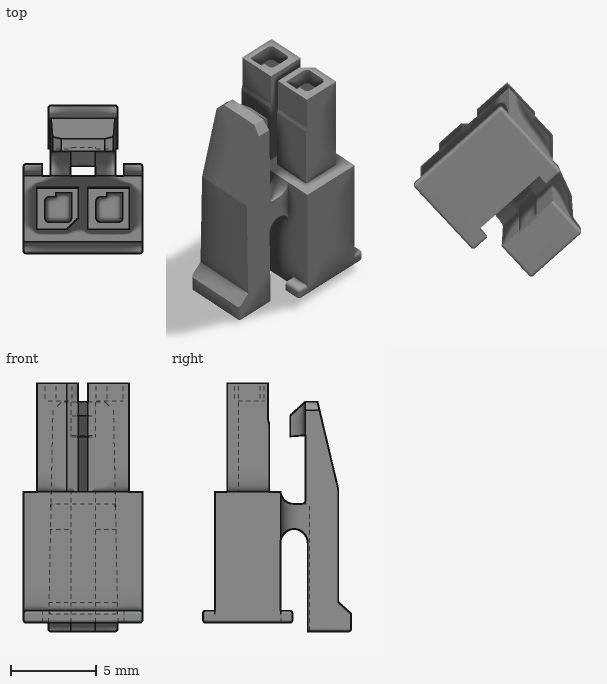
import cadquery as cq
import math


BODY_WIDTH = 7.0
BODY_DEPTH = 3.86
BODY_TOP = 7.67
FLANGE_OVERHANG = 0.7
FLANGE_HEIGHT = 0.71
EDGE_RADIUS = 0.18
FLANGE_TAB_WIDTH = 1.12
BODY_BACK = BODY_DEPTH / 2
FLANGE_DEPTH = BODY_DEPTH + 2 * FLANGE_OVERHANG

TOWER_PITCH = 3.0
TOWER_WIDTH = 2.42
TOWER_TOP = 14.05
TOWER_FRONT = -1.2
TOWER_BACK = 1.27
TOWER_BACK_STEP = 0.065
STEP_BOTTOM = 11.65
STEP_TOP = 11.9
POLARISING_CHAMFER = 0.65

OPENING_LEFT = -0.74
OPENING_RIGHT = 0.83
OPENING_FRONT = -0.79
OPENING_SHOULDER = 0.7
OPENING_BACK = 0.93
OPENING_KEY_LEFT = -0.11
OPENING_RADIUS = 0.28
OPENING_DEPTH = 1.03

LATCH_BOTTOM = -0.52
LATCH_TOP = 12.97
LATCH_BOTTOM_WIDTH = 4.08
LATCH_SIDE_DRAFT = 1.15
LATCH_TOP_CHAMFER = 0.51
LATCH_BACK = 5.32
LATCH_TOP_BACK = 4.1
LATCH_SLOPE_START = 7.83
LATCH_UPPER_FRONT = 3.38
LATCH_LOWER_FRONT = 3.51
LIP_BEHIND_FLANGE = 3.44
LIP_BACK = FLANGE_DEPTH / 2 + LIP_BEHIND_FLANGE
LIP_TOP = 0.53
LIP_SLOPE_TOP = 1.21

LINK_TOP = 6.98
LINK_ARCH_TOP = 5.49
LINK_GAP = 1.46
LINK_GAP_RELIEF = 0.1
LINK_LATCH_RADIUS = 0.18
LINK_BODY_RADIUS = 0.76

HOOK_FRONT = 2.49
HOOK_NOSE_TOP = 12.15
HOOK_NOSE_BOTTOM = 10.92
HOOK_ROOT_BOTTOM = 10.99


def block(x_range, y_range, z_range):
    """Box between the given limits."""
    (x0, x1), (y0, y1), (z0, z1) = x_range, y_range, z_range
    return cq.Workplane("XY").box(x1 - x0, y1 - y0, z1 - z0, centered=False).translate((x0, y0, z0))


def side_profile(half_width):
    """Sketch plane for (Y, Z) profiles, to be extruded from -half_width towards +X."""
    return cq.Workplane("YZ", origin=(-half_width, 0, 0))


def make_flange():
    flange = cq.Workplane("XY").box(BODY_WIDTH, FLANGE_DEPTH, FLANGE_HEIGHT, centered=(True, True, False))
    flange = flange.edges().fillet(EDGE_RADIUS)
    half_opening = BODY_WIDTH / 2 - FLANGE_TAB_WIDTH
    opening = block((-half_opening, half_opening), (BODY_BACK, FLANGE_DEPTH), (0, FLANGE_HEIGHT))
    return flange.cut(opening)


def make_body():
    half_width = BODY_WIDTH / 2
    return block((-half_width, half_width), (-BODY_BACK, BODY_BACK), (EDGE_RADIUS, BODY_TOP))


def make_tower(centre_x, polarised):
    upper_back = TOWER_BACK - TOWER_BACK_STEP
    tower = (
        side_profile(TOWER_WIDTH / 2)
        .moveTo(TOWER_FRONT, BODY_TOP)
        .lineTo(TOWER_BACK, BODY_TOP)
        .lineTo(TOWER_BACK, STEP_BOTTOM)
        .lineTo(upper_back, STEP_TOP)
        .lineTo(upper_back, TOWER_TOP)
        .lineTo(TOWER_FRONT, TOWER_TOP)
        .close()
        .extrude(TOWER_WIDTH)
    )
    if polarised:
        tower = tower.edges("|Z and >X and <Y").chamfer(POLARISING_CHAMFER)
    return tower.cut(make_opening()).translate((centre_x, 0, 0))


def make_opening():
    main = block(
        (OPENING_LEFT, OPENING_RIGHT),
        (OPENING_FRONT, OPENING_SHOULDER),
        (TOWER_TOP - OPENING_DEPTH, TOWER_TOP),
    )
    main = main.edges("|Z").fillet(OPENING_RADIUS)
    key = block(
        (OPENING_KEY_LEFT, OPENING_RIGHT),
        (0, OPENING_BACK),
        (TOWER_TOP - OPENING_DEPTH, TOWER_TOP),
    )
    return main.union(key)


def make_latch_front_outline():
    """Tapered width of the latch with chamfered top corners, as a prism along Y."""
    draft = math.tan(math.radians(LATCH_SIDE_DRAFT))
    chamfer_start = LATCH_TOP - LATCH_TOP_CHAMFER
    half_bottom = LATCH_BOTTOM_WIDTH / 2
    half_upper = half_bottom - draft * (chamfer_start - LATCH_BOTTOM)
    half_top = half_upper - LATCH_TOP_CHAMFER
    return (
        cq.Workplane("XZ")
        .polyline([
            (-half_bottom, LATCH_BOTTOM),
            (half_bottom, LATCH_BOTTOM),
            (half_upper, chamfer_start),
            (half_top, LATCH_TOP),
            (-half_top, LATCH_TOP),
            (-half_upper, chamfer_start),
        ])
        .close()
        .extrude(-LIP_BACK)
    )


def make_latch():
    arch_radius = (LATCH_LOWER_FRONT - BODY_BACK) / 2
    arch_spring = LINK_ARCH_TOP - arch_radius
    arch_centre = BODY_BACK + arch_radius
    latch = (
        side_profile(LATCH_BOTTOM_WIDTH / 2)
        .moveTo(LATCH_LOWER_FRONT, LATCH_BOTTOM)
        .lineTo(LIP_BACK, LATCH_BOTTOM)
        .lineTo(LIP_BACK, LIP_TOP)
        .lineTo(LATCH_BACK, LIP_SLOPE_TOP)
        .lineTo(LATCH_BACK, LATCH_SLOPE_START)
        .lineTo(LATCH_TOP_BACK, LATCH_TOP)
        .lineTo(LATCH_UPPER_FRONT, LATCH_TOP)
        .lineTo(LATCH_UPPER_FRONT, LINK_TOP + LINK_LATCH_RADIUS)
        .radiusArc((LATCH_UPPER_FRONT - LINK_LATCH_RADIUS, LINK_TOP), LINK_LATCH_RADIUS)
        .lineTo(BODY_BACK + LINK_BODY_RADIUS, LINK_TOP)
        .radiusArc((BODY_BACK, BODY_TOP), LINK_BODY_RADIUS)
        .lineTo(BODY_BACK, arch_spring)
        .threePointArc((arch_centre, LINK_ARCH_TOP), (LATCH_LOWER_FRONT, arch_spring))
        .close()
        .extrude(LATCH_BOTTOM_WIDTH)
    )
    latch = latch.intersect(make_latch_front_outline())
    lip_edges = latch.faces("<Z").edges("not <Y").add(latch.faces(">Y").edges("not >Z"))
    latch = lip_edges.fillet(EDGE_RADIUS)
    link_gap = block(
        (-LINK_GAP / 2, LINK_GAP / 2),
        (BODY_BACK, LATCH_LOWER_FRONT + LINK_GAP_RELIEF),
        (LATCH_BOTTOM, LINK_TOP),
    )
    upper_gap = block(
        (-LINK_GAP / 2, LINK_GAP / 2),
        (BODY_BACK, LATCH_UPPER_FRONT),
        (LINK_TOP, BODY_TOP),
    )
    return latch.cut(link_gap).cut(upper_gap).union(make_hook())


def make_hook():
    return (
        side_profile(LINK_GAP / 2)
        .moveTo(LATCH_UPPER_FRONT, LATCH_TOP)
        .lineTo(HOOK_FRONT, HOOK_NOSE_TOP)
        .lineTo(HOOK_FRONT, HOOK_NOSE_BOTTOM)
        .lineTo(LATCH_UPPER_FRONT, HOOK_ROOT_BOTTOM)
        .close()
        .extrude(LINK_GAP)
    )


result = make_flange().union(make_body())
for side in (-1, 1):
    result = result.union(make_tower(side * TOWER_PITCH / 2, polarised=side < 0))
result = result.union(make_latch())